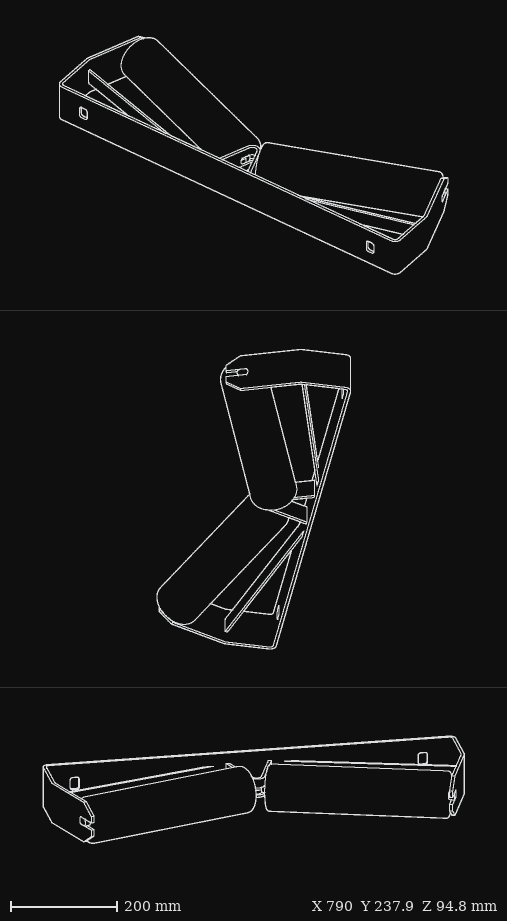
import cadquery as cq
import math

frame_length = 790.0
frame_height = 80.0
plate = 6.0
bend_outer = 2 * plate
bend_inner = bend_outer - plate
lean = 20.0
bend_y = 97.0
arm_length = 143.0
tip_cut_along = 28.0
tip_cut_across = 20.0

slot_x = 333.0
slot_width = 17.0
slot_height = 24.5
slot_corner = 5.0

brace_height = 30.0
brace_plate = 5.0
brace_foot_x = 68.0

bracket_height = 37.0
bracket_half_base = 43.5
bracket_bend_outer = 15.0
bracket_bend_inner = bracket_bend_outer - plate

roller_diameter = 89.0
roller_length = 345.0
roller_fillet = 5.0
roller_gap = 5.1
roller_drop = 6.0
shaft_seat = 111.0
shaft_diameter = 20.5
shaft_flats = 14.0

lean_angle = math.radians(lean)
sin_lean = math.sin(lean_angle)
cos_lean = math.cos(lean_angle)
half_length = frame_length / 2
inner_bend_y = bend_y - plate * math.tan(lean_angle / 2)
roller_start = plate + roller_gap
arm_to_leg = (half_length - bracket_half_base) * cos_lean + (bend_y - plate) * sin_lean
shaft_length = arm_to_leg + plate
roller_tilt = math.degrees(math.asin(roller_drop / roller_length))


def arm_point(along, depth):
    """Point of the left arm: distance from the bend, and depth inwards from its outer face."""
    return (
        -half_length + along * sin_lean + depth * cos_lean,
        bend_y + along * cos_lean - depth * sin_lean,
    )


def upright(points, height):
    """Prism with the given XY outline, centred on Z = 0."""
    return cq.Workplane("XY").polyline(points).close().extrude(height / 2, both=True)


def slab(height):
    """Layer around Z = 0, wide enough to cover the whole part."""
    return cq.Workplane("XY").box(2 * frame_length, 2 * frame_length, height)


def both_sides(body):
    return body.union(body.mirror("YZ"))


def on_left_arm():
    """Workplane on the outer face of the left arm: local x along the arm, local y along -Z."""
    return cq.Workplane(cq.Plane(
        origin=(-half_length, bend_y, 0),
        xDir=(sin_lean, cos_lean, 0),
        normal=(-cos_lean, sin_lean, 0),
    ))


def bent_strip():
    outer = [(-half_length, 0), (-half_length, bend_y), arm_point(arm_length, 0)]
    inner = [arm_point(arm_length, plate), (-half_length + plate, inner_bend_y), (-half_length + plate, plate)]
    left = outer + inner
    right = [(-x, y) for x, y in reversed(left)]
    body = upright(left + right, frame_height)
    bends = [
        (half_length, 0, bend_outer),
        (half_length, bend_y, bend_outer),
        (half_length - plate, plate, bend_inner),
        (half_length - plate, inner_bend_y, bend_inner),
    ]
    for x, y, radius in bends:
        for side in (-1, 1):
            corner = cq.selectors.NearestToPointSelector((side * x, y, 0))
            body = body.edges(corner).fillet(radius)
    return body


def tip_cuts():
    """The two corners taken off the tip of the left arm."""
    top = frame_height / 2
    corner = (
        on_left_arm()
        .polyline([(arm_length - tip_cut_along, top), (arm_length, top), (arm_length, top - tip_cut_across)])
        .close()
        .extrude(2 * plate, both=True)
    )
    return corner.union(corner.mirror("XY"))


def arm_notch():
    """Notch for the shaft, with a rounded bottom, open at the tip of the left arm."""
    bottom = on_left_arm().center(shaft_seat, 0).circle(shaft_diameter / 2).extrude(2 * plate, both=True)
    throat = (
        on_left_arm()
        .center(shaft_seat + arm_length / 2, 0)
        .rect(arm_length, shaft_diameter)
        .extrude(2 * plate, both=True)
    )
    return bottom.union(throat).intersect(slab(shaft_flats))


def mounting_slots():
    return (
        cq.Workplane("XZ")
        .pushPoints([(-slot_x, 0), (slot_x, 0)])
        .rect(slot_width, slot_height)
        .extrude(2 * plate, both=True)
        .edges("|Y")
        .fillet(slot_corner)
    )


def brace():
    head_x, head_y = -half_length + plate, bend_y
    foot_x, foot_y = -brace_foot_x, plate
    length = math.hypot(foot_x - head_x, foot_y - head_y)
    shift_x = brace_plate * (foot_y - head_y) / length
    shift_y = -brace_plate * (foot_x - head_x) / length
    return upright(
        [
            (head_x, head_y),
            (foot_x, foot_y),
            (foot_x + shift_x, foot_y + shift_y),
            (head_x + shift_x, head_y + shift_y),
        ],
        brace_height,
    )


def make_frame():
    openings = both_sides(tip_cuts().union(arm_notch()))
    return bent_strip().cut(openings).cut(mounting_slots()).union(both_sides(brace()))


def make_left_roller():
    """Roller built along +X from the outer end of its axis, then tilted, turned and seated in its arm."""
    drum = (
        cq.Workplane("YZ")
        .circle(roller_diameter / 2)
        .extrude(roller_length)
        .edges()
        .fillet(roller_fillet)
        .translate((roller_start, 0, 0))
    )
    shaft = cq.Workplane("YZ").circle(shaft_diameter / 2).extrude(shaft_length).intersect(slab(shaft_flats))
    x, y = arm_point(shaft_seat, 0)
    return (
        drum.union(shaft)
        .rotate((0, 0, 0), (0, 1, 0), roller_tilt)
        .rotate((0, 0, 0), (0, 0, 1), -lean)
        .translate((x, y, 0))
    )


def bracket_wedge(half_base, bend):
    """Solid wedge on the long strip with leaning sides and a rounded ridge."""
    ridge_y = plate + half_base / math.tan(lean_angle)
    wedge = upright([(-half_base, plate), (half_base, plate), (0, ridge_y)], bracket_height)
    return wedge.edges("|Z and >Y").fillet(bend)


def ridge_notch():
    """Notch over the ridge that joins the seats of the two shafts."""
    shaft_end_y = arm_point(shaft_seat, arm_to_leg + plate / 2)[1]
    shaft_end_z = -arm_to_leg * math.sin(math.radians(roller_tilt))
    return (
        cq.Workplane("XY")
        .box(2 * bracket_half_base, bracket_half_base, shaft_flats, centered=(True, False, True))
        .translate((0, shaft_end_y, shaft_end_z))
    )


def make_bracket(rollers):
    inner_half_base = bracket_half_base - plate / cos_lean
    bracket = bracket_wedge(bracket_half_base, bracket_bend_outer)
    bracket = bracket.cut(bracket_wedge(inner_half_base, bracket_bend_inner)).cut(ridge_notch())
    for roller in rollers:
        bracket = bracket.cut(roller)
    return bracket


left_roller = make_left_roller()
rollers = [left_roller, left_roller.mirror("YZ")]
frame = make_frame()
for roller in rollers:
    frame = frame.cut(roller)
bracket = make_bracket(rollers)

result = cq.Compound.makeCompound([frame.val(), bracket.val(), *[roller.val() for roller in rollers]])